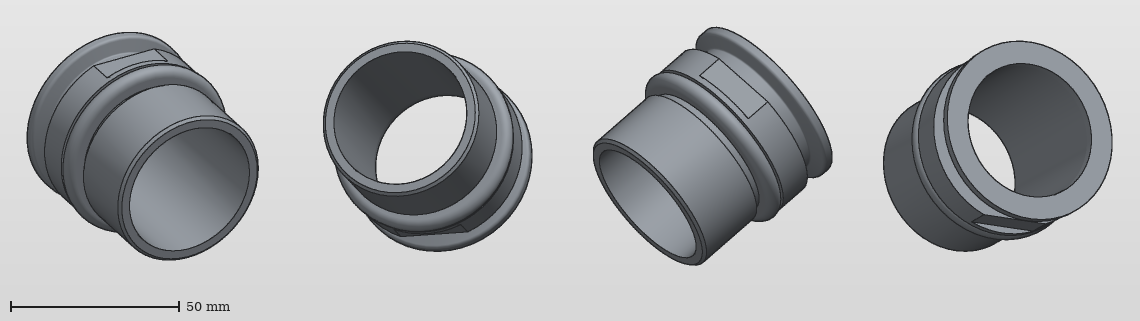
import cadquery as cq
import math

collar_start = 9.9
flat_end = 18.05
collar_end = 20.0
bead_end = 25.3
sleeve_start = 28.1
total_length = 50.0

flange_radius = 27.5
neck_radius = 22.6
collar_radius = 27.0
relief_radius = 22.1
sleeve_radius = 23.9
sleeve_chamfer = 0.9

flange_rim_width = 2.15
flange_back_angle = math.radians(15)
rim_fillet = 1.1
neck_fillet = 0.55

bore_radius = 20.4
bore_mouth_radius = 20.55
bore_taper_length = 2.5

flat_height = 24.95

bead_section_radius = (bead_end - collar_end) / 2
bead_base_radius = flange_radius - bead_section_radius


def cylinder(start, end, radius):
    return cq.Workplane("YZ").workplane(offset=start).circle(radius).extrude(end - start)


def revolve_about_x(profile):
    return profile.close().revolve(360, (0, 0, 0), (1, 0, 0))


def make_flange():
    sine = math.sin(flange_back_angle)
    cosine = math.cos(flange_back_angle)
    arc_mid_angle = math.pi / 4 + flange_back_angle / 2
    rim_center_r = flange_radius - rim_fillet
    slope_top_x = flange_rim_width + rim_fillet * cosine
    slope_top_r = rim_center_r + rim_fillet * sine
    neck_center_r = neck_radius + neck_fillet
    slope_bottom_r = neck_center_r - neck_fillet * sine
    slope_bottom_x = slope_top_x + (slope_top_r - slope_bottom_r) * math.tan(flange_back_angle)
    neck_center_x = slope_bottom_x + neck_fillet * cosine
    rim_mid = (
        flange_rim_width + rim_fillet * math.cos(arc_mid_angle),
        rim_center_r + rim_fillet * math.sin(arc_mid_angle),
    )
    neck_mid = (
        neck_center_x - neck_fillet * math.cos(arc_mid_angle),
        neck_center_r - neck_fillet * math.sin(arc_mid_angle),
    )
    profile = (
        cq.Workplane("XY")
        .lineTo(0, flange_radius)
        .lineTo(flange_rim_width, flange_radius)
        .threePointArc(rim_mid, (slope_top_x, slope_top_r))
        .lineTo(slope_bottom_x, slope_bottom_r)
        .threePointArc(neck_mid, (neck_center_x, neck_radius))
        .lineTo(collar_start, neck_radius)
        .lineTo(collar_start, 0)
    )
    return revolve_about_x(profile)


def make_collar():
    collar = cylinder(collar_start, collar_end, collar_radius)
    flat_length = flat_end - collar_start
    cut_height = collar_radius - flat_height
    for side in (-1, 1):
        cutter = (
            cq.Workplane("XY")
            .box(flat_length, 2 * collar_radius, cut_height)
            .translate((collar_start + flat_length / 2, 0, side * (flat_height + cut_height / 2)))
        )
        collar = collar.cut(cutter)
    return collar


def make_bead():
    profile = (
        cq.Workplane("XY")
        .moveTo(collar_end, 0)
        .lineTo(collar_end, bead_base_radius)
        .threePointArc((collar_end + bead_section_radius, flange_radius), (bead_end, bead_base_radius))
        .lineTo(bead_end, 0)
    )
    return revolve_about_x(profile)


def make_sleeve():
    relief = cylinder(bead_end, sleeve_start, relief_radius)
    sleeve = cylinder(sleeve_start, total_length, sleeve_radius).faces(">X").chamfer(sleeve_chamfer)
    return relief.union(sleeve)


def make_bore():
    profile = (
        cq.Workplane("XY")
        .lineTo(0, bore_mouth_radius)
        .lineTo(bore_taper_length, bore_radius)
        .lineTo(total_length, bore_radius)
        .lineTo(total_length, 0)
    )
    return revolve_about_x(profile)


result = make_flange().union(make_collar()).union(make_bead()).union(make_sleeve()).cut(make_bore())